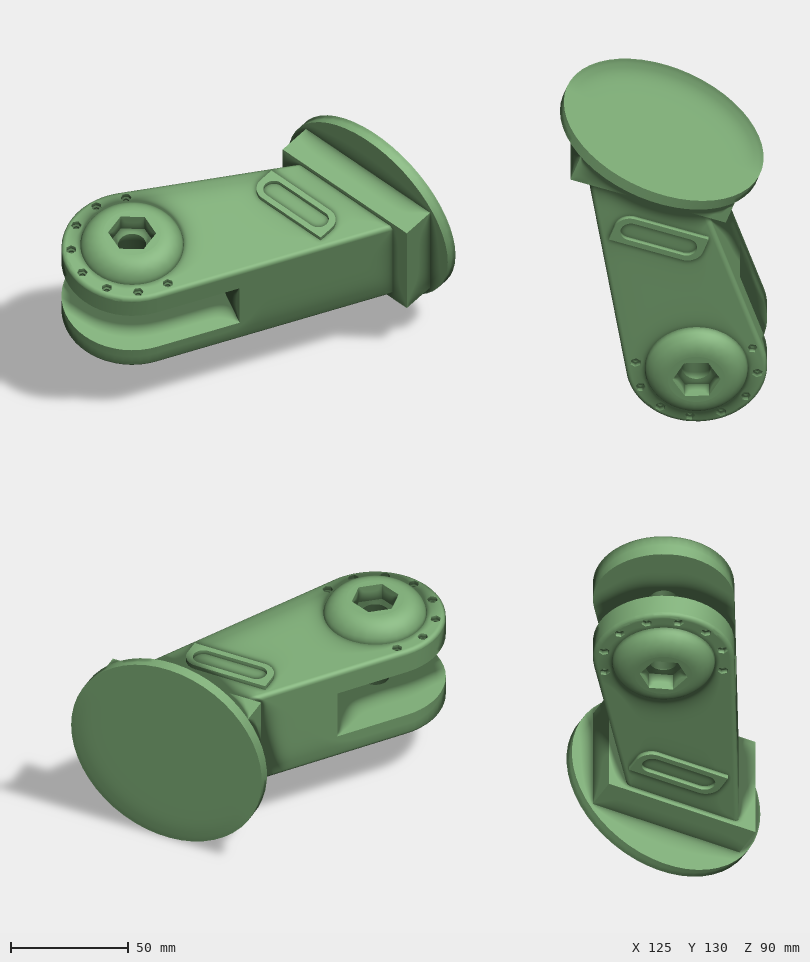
import cadquery as cq
import math


disc_radius = 45.0
disc_thickness = 5.0
disc_center_x = 50.0
disc_back_y = 100.0
disc_front_y = disc_back_y - disc_thickness
block_width = 70.0
block_depth = 15.0
block_height = 50.0
block_front_y = disc_front_y - block_depth

arm_end_radius = 30.0
arm_half_height = 22.5
arm_edge_fillet = 2.0
right_edge_angle = 61.8
left_edge_angle = 52.7
arm_root_y = block_front_y + block_depth / 2

slot_height = 23.0
slot_floor_distance = 37.5
slot_length = 2 * arm_end_radius + slot_floor_distance
slot_width = 4 * arm_end_radius

cap_radius = 22.2
cap_height = 8.0
cap_round = 10.0
cap_buried_depth = 3.0
cap_top = arm_half_height + cap_height
socket_corner_diameter = 20.4
socket_depth = cap_height
socket_angle = 39.5
bore_diameter = 12.0

ring_radius = 26.0
ring_count = 8
ring_step = 30.0
ring_hole_radius = 1.2
ring_hole_depth = 3.0
ring_hex_corner_diameter = 4.6
ring_hex_depth = 2.0
corner_to_flat_angle = 30.0

label_length = 40.0
label_width = 14.0
label_height = 2.0
label_corner_radius = 7.0
label_center_x = 38.7
label_center_y = 61.5
recess_length = 34.0
recess_width = 9.0
recess_depth = label_height


def on_circle(radius, degrees):
    angle = math.radians(degrees)
    return (radius * math.cos(angle), radius * math.sin(angle))


def along_to_y(start, degrees, y):
    """Follow a line from a start point in a given direction up to height y."""
    return (start[0] + (y - start[1]) / math.tan(math.radians(degrees)), y)


def make_mount():
    disc = (
        cq.Workplane("XZ", origin=(disc_center_x, disc_back_y, 0))
        .circle(disc_radius)
        .extrude(disc_thickness)
    )
    block = (
        cq.Workplane("XZ", origin=(disc_center_x, disc_front_y, 0))
        .rect(block_width, block_height)
        .extrude(block_depth)
    )
    return disc.union(block)


def make_arm():
    right_tangent = on_circle(arm_end_radius, right_edge_angle - 90)
    left_tangent = on_circle(arm_end_radius, left_edge_angle + 90)
    middle_angle = (right_edge_angle + left_edge_angle) / 2
    arm = (
        cq.Workplane("XY", origin=(0, 0, -arm_half_height))
        .moveTo(*along_to_y(right_tangent, right_edge_angle, arm_root_y))
        .lineTo(*right_tangent)
        .threePointArc(on_circle(arm_end_radius, middle_angle + 180), left_tangent)
        .lineTo(*along_to_y(left_tangent, left_edge_angle, arm_root_y))
        .close()
        .extrude(2 * arm_half_height)
    )
    arm = arm.faces("<Z or >Z").edges("not >Y").fillet(arm_edge_fillet)
    slot = (
        cq.Workplane("XY")
        .box(slot_length, slot_width, slot_height)
        .translate((slot_floor_distance - slot_length / 2, 0, 0))
        .rotate((0, 0, 0), (0, 0, 1), right_edge_angle)
    )
    return arm.cut(slot)


def make_cap():
    """Upper cap; its cylinder starts below the arm face so the round can exceed the cap height."""
    base = arm_half_height - cap_buried_depth
    return (
        cq.Workplane("XY", origin=(0, 0, base))
        .circle(cap_radius)
        .extrude(cap_top - base)
        .faces(">Z")
        .edges()
        .fillet(cap_round)
    )


def make_label():
    """Raised plate with two opposite rounded corners and an obround recess."""
    plate = (
        cq.Workplane("XY", origin=(label_center_x, label_center_y, arm_half_height))
        .rect(label_length, label_width)
        .extrude(label_height)
    )
    plate = plate.edges("|Z and (>(1, 1, 0) or <(1, 1, 0))").fillet(label_corner_radius)
    recess_floor = arm_half_height + label_height - recess_depth
    recess = (
        cq.Workplane("XY", origin=(label_center_x, label_center_y, recess_floor))
        .slot2D(recess_length, recess_width)
        .extrude(recess_depth)
    )
    return plate.cut(recess)


def make_socket():
    return (
        cq.Workplane("XY", origin=(0, 0, cap_top - socket_depth))
        .polygon(6, socket_corner_diameter)
        .extrude(socket_depth)
        .rotate((0, 0, 0), (0, 0, 1), socket_angle)
    )


def make_ring_holes():
    """Hex-counterbored holes about the free end of the arm, each with a flat facing the pivot."""
    first_angle = right_edge_angle + 180 - ring_step * (ring_count - 1) / 2
    face = cq.Workplane("XY", origin=(0, 0, arm_half_height))
    counterbore = face.polygon(6, ring_hex_corner_diameter).extrude(-ring_hex_depth)
    counterbore = counterbore.rotate((0, 0, 0), (0, 0, 1), corner_to_flat_angle)
    hole = face.circle(ring_hole_radius).extrude(-ring_hole_depth)
    single_hole = counterbore.union(hole).translate((ring_radius, 0, 0))
    holes = cq.Workplane("XY")
    for i in range(ring_count):
        holes = holes.add(single_hole.rotate((0, 0, 0), (0, 0, 1), first_angle + i * ring_step))
    return holes.combine()


def both_sides(body):
    return body.union(body.mirror("XY"))


bore = cq.Workplane("XY").circle(bore_diameter / 2).extrude(cap_top, both=True)

result = (
    make_mount()
    .union(make_arm())
    .union(both_sides(make_cap()))
    .union(both_sides(make_label()))
    .cut(both_sides(make_socket()))
    .cut(both_sides(make_ring_holes()))
    .cut(bore)
)